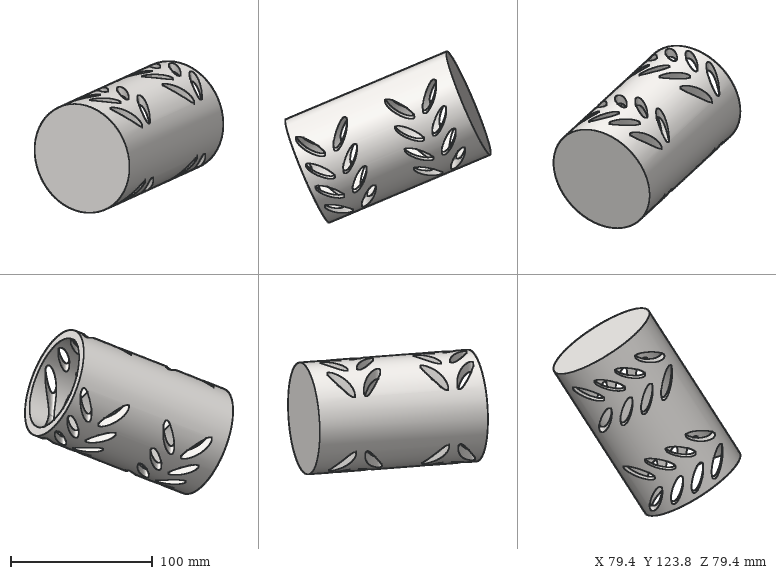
import cadquery as cq

OUTER_DIAMETER = 79.375
WALL = 6.35
FLOOR = WALL
LENGTH = 123.825
INNER_DIAMETER = OUTER_DIAMETER - 2 * WALL

SLOT_LENGTH = 22.1
SLOT_WIDTH = 6.7
SLOT_ANGLE = 44.0
SLOTS_PER_ROW = 4
SLOT_PITCH = 16.9
SLOT_TILT = 3.6
PATTERN_SHIFT = 0.75

ROW_PITCH = 22.86
FIRST_ROW_Y = 20.15
ROWS = ((0, 1), (1, -1), (3, 1), (4, -1))


def make_cup():
    """Round body with a blind bore entering from the +Y end."""
    start_plane = cq.Workplane("XZ")
    body = start_plane.circle(OUTER_DIAMETER / 2).extrude(-LENGTH)
    bore = start_plane.workplane(offset=-FLOOR).circle(INNER_DIAMETER / 2).extrude(FLOOR - LENGTH)
    return body.cut(bore)


def make_slot(x, y, slant):
    """Upright elliptical cutter centred on (x, y), long enough to cross the whole cup."""
    return (
        cq.Workplane("XY")
        .center(x, y)
        .ellipse(SLOT_LENGTH / 2, SLOT_WIDTH / 2, rotation_angle=slant * SLOT_ANGLE)
        .extrude(OUTER_DIAMETER, both=True)
    )


def cut_slots(cup):
    """Cut the rows of slots, slanting alternately to form a herringbone."""
    first_x = PATTERN_SHIFT - SLOT_PITCH * (SLOTS_PER_ROW - 1) / 2
    for place, slant in ROWS:
        y = FIRST_ROW_Y + place * ROW_PITCH
        for column in range(SLOTS_PER_ROW):
            slot = make_slot(first_x + column * SLOT_PITCH, y, slant)
            cup = cup.cut(slot.rotate((0, 0, 0), (0, 1, 0), -SLOT_TILT))
    return cup


result = cut_slots(make_cup())